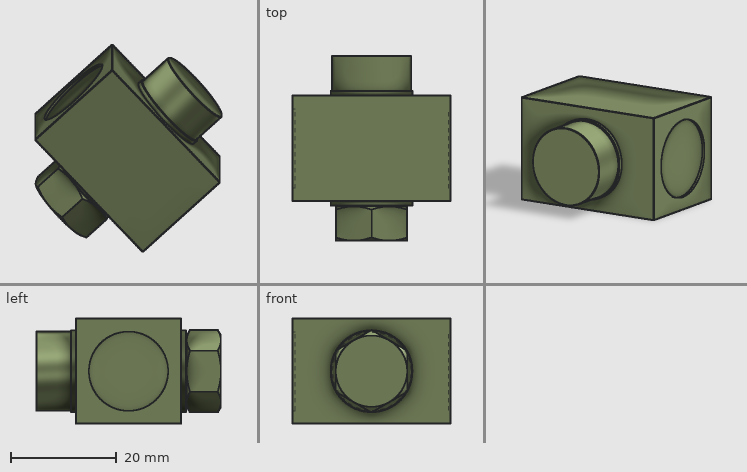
import cadquery as cq
import math

block_x = 30.0
block_y = 20.02
block_z = 20.0
edge_chamfer = 0.1

overhang = 7.5
washer_diameter = 15.55
washer_thickness = 0.9
washer_chamfer = 0.1
cap_diameter = 15.05
cap_chamfer = 0.1
neck_length = 0.1
hex_flats = 13.5
hex_corners = hex_flats / math.cos(math.pi / 6)
hex_chamfer_angle = math.radians(30)

port_diameter = 15.0
port_depth = 0.5

hex_length = overhang - washer_thickness - neck_length
front_face = -block_y / 2
back_face = block_y / 2


def cylinder_y(diameter, start, end):
    """Cylinder on the Y axis between two Y positions."""
    return cq.Workplane("XZ", origin=(0, end, 0)).circle(diameter / 2).extrude(end - start)


def make_block():
    block = cq.Workplane("XY").box(block_x, block_y, block_z).edges().chamfer(edge_chamfer)
    for side in (">X", "<X"):
        block = block.faces(side).workplane(centerOption="CenterOfBoundBox").hole(port_diameter, port_depth)
    return block


def make_hex_head():
    """Hexagon with corners up and down, its corners turned off by cones at both ends."""
    outer = front_face - overhang
    inner = outer + hex_length
    hexagon = (
        cq.Workplane("XZ", origin=(0, inner, 0))
        .transformed(rotate=(0, 0, 90))
        .polygon(6, hex_corners)
        .extrude(hex_length)
    )
    flat_radius = hex_flats / 2
    corner_radius = hex_corners / 2
    cone_length = (corner_radius - flat_radius) * math.tan(hex_chamfer_angle)
    envelope = (
        cq.Workplane("XY")
        .moveTo(0, outer)
        .lineTo(flat_radius, outer)
        .lineTo(corner_radius, outer + cone_length)
        .lineTo(corner_radius, inner - cone_length)
        .lineTo(flat_radius, inner)
        .lineTo(0, inner)
        .close()
        .revolve(360, (0, 0, 0), (0, 1, 0))
    )
    return hexagon.intersect(envelope)


def make_cap():
    """Round cap at the back with its outer edge broken."""
    cap = cylinder_y(cap_diameter, back_face, back_face + overhang)
    return cap.faces(">Y").edges().chamfer(cap_chamfer)


def make_washers():
    """One round bar through the block, its two ends showing as the washers."""
    bar = cylinder_y(washer_diameter, front_face - washer_thickness, back_face + washer_thickness)
    return bar.edges().chamfer(washer_chamfer)


def make_neck():
    """Thin round face between the front washer and the hexagon."""
    return cylinder_y(hex_flats, front_face - washer_thickness - neck_length, front_face - washer_thickness)


result = make_block().union(make_washers()).union(make_neck()).union(make_hex_head()).union(make_cap())